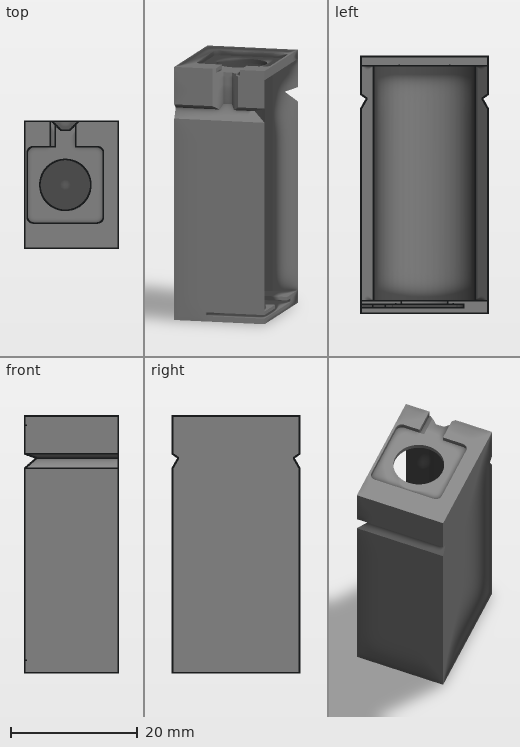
import cadquery as cq
import math

LENGTH_X = 14.75
WIDTH_Y = 20.05
HEIGHT = 40.5
HALF_WIDTH = WIDTH_Y / 2

AXIS_X = 6.4
CAVITY_RADIUS = 8.15
FLOOR_TOP = 2.02
ROOF_THICKNESS = 1.45
WALL_KNEE_X = 3.6
WALL_KNEE_Y = 8.2
ARC_START_X = 4.8

POCKET_SIZE = 12.02
POCKET_CORNER = 1.0
POCKET_DEPTH = 0.73
CHANNEL_WIDTH = 3.25
HOLE_DIAMETER = 8.0
WIRE_GROOVE_WIDTH = 0.75
WIRE_GROOVE_DEPTH = 1.05

SLOT_BOTTOM = 0.9
SLOT_TOP = 1.45
SLOT_HALF_WIDTH = 6.15
SLOT_CORNER = 1.1
SLOT_STEP_Y = 8.18
SLOT_STEP = 1.6
OPENING_RADIUS = 4.5
OPENING_HALF_WIDTH = 3.65

GROOVE_LOW_Z = 32.22
GROOVE_TIP_Z = 33.85
GROOVE_HIGH_Z = 34.5
GROOVE_DEPTH = 0.95
NOTCH_DEPTH = 1.4
NOTCH_MOUTH = 4.2


def box(x_min, x_max, y_min, y_max, z_min, z_max):
    size = (x_max - x_min, y_max - y_min, z_max - z_min)
    return cq.Workplane("XY").box(*size, centered=False).translate((x_min, y_min, z_min))


def cylinder(radius, z_min, z_max):
    return cq.Workplane("XY", origin=(AXIS_X, 0, z_min)).circle(radius).extrude(z_max - z_min)


def battery_cavity():
    """Half-round bay whose side walls taper to an edge at the open face."""
    arc_start_y = math.sqrt(CAVITY_RADIUS**2 - (AXIS_X - ARC_START_X) ** 2)
    return (
        cq.Workplane("XY", origin=(0, 0, FLOOR_TOP))
        .moveTo(0, HALF_WIDTH)
        .lineTo(WALL_KNEE_X, WALL_KNEE_Y)
        .lineTo(ARC_START_X, arc_start_y)
        .threePointArc((AXIS_X + CAVITY_RADIUS, 0), (ARC_START_X, -arc_start_y))
        .lineTo(WALL_KNEE_X, -WALL_KNEE_Y)
        .lineTo(0, -HALF_WIDTH)
        .close()
        .extrude(HEIGHT - ROOF_THICKNESS - FLOOR_TOP)
    )


def roof_cutouts():
    """Square contact pocket, contact hole and a channel to the +Y face with a deeper wire groove."""
    half_pocket = POCKET_SIZE / 2
    pocket_floor = HEIGHT - POCKET_DEPTH
    channel_left = AXIS_X - CHANNEL_WIDTH / 2
    channel_right = AXIS_X + CHANNEL_WIDTH / 2
    pocket = box(
        AXIS_X - half_pocket, AXIS_X + half_pocket, -half_pocket, half_pocket, pocket_floor, HEIGHT
    ).edges("|Z").fillet(POCKET_CORNER)
    channel = box(channel_left, channel_right, 0, HALF_WIDTH, pocket_floor, HEIGHT)
    wire_groove = box(
        channel_left - WIRE_GROOVE_WIDTH, channel_left,
        half_pocket, HALF_WIDTH,
        HEIGHT - WIRE_GROOVE_DEPTH, HEIGHT,
    )
    hole = cylinder(HOLE_DIAMETER / 2, HEIGHT - ROOF_THICKNESS, HEIGHT)
    return pocket.union(channel).union(wire_groove).union(hole)


def floor_cutouts():
    """Contact slot open to the X = 0 and +Y faces, and the keyhole opening above it."""
    slot_end = AXIS_X + POCKET_SIZE / 2
    channel_end = AXIS_X + CHANNEL_WIDTH / 2
    slot = box(0, slot_end, -SLOT_HALF_WIDTH, SLOT_HALF_WIDTH, SLOT_BOTTOM, SLOT_TOP)
    slot = slot.edges("|Z and >X").fillet(SLOT_CORNER)
    channel = box(0, channel_end, 0, HALF_WIDTH, SLOT_BOTTOM, SLOT_TOP)
    wide_end = box(0, channel_end + SLOT_STEP, SLOT_STEP_Y, HALF_WIDTH, SLOT_BOTTOM, SLOT_TOP)
    opening = cylinder(OPENING_RADIUS, SLOT_TOP, FLOOR_TOP)
    mouth = box(0, AXIS_X, -OPENING_HALF_WIDTH, OPENING_HALF_WIDTH, SLOT_TOP, FLOOR_TOP)
    return slot.union(channel).union(wide_end).union(opening).union(mouth)


def side_groove():
    """V-groove along the +Y face."""
    profile = [
        (HALF_WIDTH, GROOVE_LOW_Z),
        (HALF_WIDTH - GROOVE_DEPTH, GROOVE_TIP_Z),
        (HALF_WIDTH, GROOVE_HIGH_Z),
    ]
    return cq.Workplane("YZ").polyline(profile).close().extrude(LENGTH_X)


def wire_notch():
    """Vertical 45-degree notch in the +Y face; its foot continues the groove's lower slope."""
    half_mouth = NOTCH_MOUTH / 2
    half_floor = half_mouth - NOTCH_DEPTH
    inner_y = HALF_WIDTH - NOTCH_DEPTH
    inner_foot_z = GROOVE_LOW_Z + NOTCH_DEPTH * (GROOVE_TIP_Z - GROOVE_LOW_Z) / GROOVE_DEPTH
    plan = [
        (AXIS_X - half_mouth, HALF_WIDTH),
        (AXIS_X - half_floor, inner_y),
        (AXIS_X + half_floor, inner_y),
        (AXIS_X + half_mouth, HALF_WIDTH),
    ]
    side = [
        (HALF_WIDTH, GROOVE_LOW_Z),
        (inner_y, inner_foot_z),
        (inner_y, HEIGHT),
        (HALF_WIDTH, HEIGHT),
    ]
    prism = cq.Workplane("XY").polyline(plan).close().extrude(HEIGHT)
    return prism.intersect(cq.Workplane("YZ").polyline(side).close().extrude(LENGTH_X))


result = box(0, LENGTH_X, -HALF_WIDTH, HALF_WIDTH, 0, HEIGHT)
groove = side_groove()
for cutter in (
    battery_cavity(),
    roof_cutouts(),
    floor_cutouts(),
    groove,
    groove.mirror("XZ"),
    wire_notch(),
):
    result = result.cut(cutter)